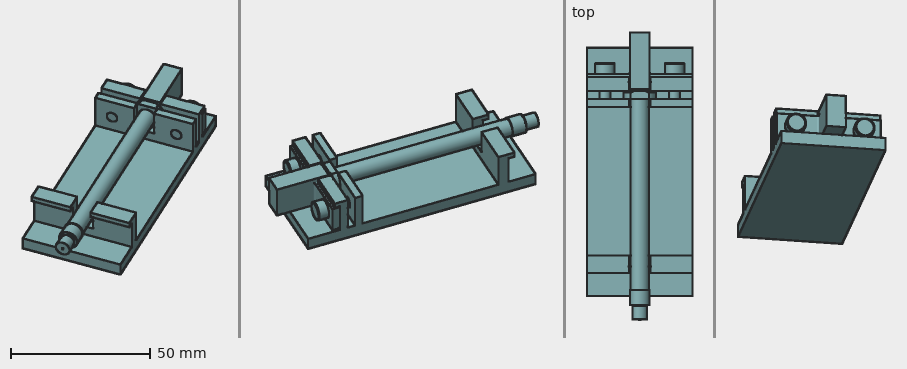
import cadquery as cq


BASE_WIDTH = 38.0
BASE_LENGTH = 89.3
BASE_THICKNESS = 4.8
TOP_Z = 17.8
HOOK_HEIGHT = 2.0

FRONT_WALL_Y = 10.6
FRONT_WALL_THICKNESS = 4.0
FRONT_HOOK_REACH = 2.3
CLAMP_WALL_Y = 67.9
CLAMP_WALL_THICKNESS = 3.0
WALL_GAP = 2.8
REAR_WALL_THICKNESS = 3.2
REAR_HOOK_REACH = 2.0
GAP_START_Y = CLAMP_WALL_Y + CLAMP_WALL_THICKNESS
REAR_WALL_Y = GAP_START_Y + WALL_GAP
REAR_WALL_END_Y = REAR_WALL_Y + REAR_WALL_THICKNESS

SLOT_WIDTH = 7.9
SLOT_DEPTH = 9.3
SLOT_FLOOR_Z = TOP_Z - SLOT_DEPTH

BLOCK_WIDTH = 7.1
BLOCK_HEIGHT = 12.2
BLOCK_BOTTOM_Z = TOP_Z - BLOCK_HEIGHT
BLOCK_FRONT_Y = 74.4
BLOCK_REAR_Y = 94.7
FLANGE_THICKNESS = 2.9
FLANGE_TOP_CLEARANCE = 0.3
FLANGE_TOP_Z = TOP_Z - HOOK_HEIGHT - FLANGE_TOP_CLEARANCE
FLANGE_REAR_Y = REAR_WALL_END_Y + FLANGE_THICKNESS
FLANGE_FILLET = 0.6

SCREW_SPACING = 25.0
SCREW_X_POSITIONS = (-SCREW_SPACING / 2, SCREW_SPACING / 2)
SCREW_Z = 10.7
SCREW_DIAMETER = 4.0
SCREW_HEAD_DIAMETER = 7.0
SCREW_HEAD_HEIGHT = 4.0
SCREW_HEAD_CHAMFER = 0.3

BARREL_CLEARANCE = 1.0
BARREL_DIAMETER = 6.5
AXIS_Z = SLOT_FLOOR_Z + BARREL_CLEARANCE + BARREL_DIAMETER / 2
DISC_DIAMETER = 11.7
DISC_ACROSS_FLATS = 9.6
DISC_CHAMFER = 0.5
COLLAR_DIAMETER = 7.0
COLLAR_REAR_Y = 2.2
COLLAR_FRONT_Y = -3.2

NECK_DIAMETER = 5.0
NECK_LENGTH = 0.4
TIP_DIAMETER = 5.4
NIB_DIAMETER = 0.5
NIB_LENGTH = 0.2
OVERALL_LENGTH = 103.3
NIB_END_Y = BLOCK_REAR_Y - OVERALL_LENGTH


def box(width, y_start, y_end, z_bottom, z_top):
    """Box centred on X = 0 between two Y and two Z positions."""
    return cq.Workplane("XY").box(
        width, y_end - y_start, z_top - z_bottom, centered=(True, False, False)
    ).translate((0, y_start, z_bottom))


def rod(diameter, y_start, y_end, x=0, z=AXIS_Z):
    """Cylinder along Y between two Y positions."""
    plane = cq.Plane(origin=(x, y_start, z), xDir=(1, 0, 0), normal=(0, 1, 0))
    return cq.Workplane(plane).circle(diameter / 2).extrude(y_end - y_start)


def screw_shank(x):
    """Screw shank, flush with the front of the clamp wall; it also cuts the screw holes."""
    return rod(SCREW_DIAMETER, CLAMP_WALL_Y, FLANGE_REAR_Y, x, SCREW_Z)


def cut_screw_holes(body):
    for x in SCREW_X_POSITIONS:
        body = body.cut(screw_shank(x))
    return body


def make_base():
    """Base plate with a hooked front wall, a clamp wall and a hooked rear wall."""
    front_wall_end_y = FRONT_WALL_Y + FRONT_WALL_THICKNESS
    rear_hook_end_y = REAR_WALL_END_Y + REAR_HOOK_REACH
    hook_bottom_z = TOP_Z - HOOK_HEIGHT
    base = box(BASE_WIDTH, 0, BASE_LENGTH, 0, BASE_THICKNESS)
    for y_start, y_end in (
        (FRONT_WALL_Y, front_wall_end_y),
        (CLAMP_WALL_Y, GAP_START_Y),
        (REAR_WALL_Y, REAR_WALL_END_Y),
    ):
        base = base.union(box(BASE_WIDTH, y_start, y_end, 0, TOP_Z))
    for y_start, y_end in (
        (FRONT_WALL_Y - FRONT_HOOK_REACH, front_wall_end_y),
        (REAR_WALL_Y, rear_hook_end_y),
    ):
        base = base.union(box(BASE_WIDTH, y_start, y_end, hook_bottom_z, TOP_Z))
    base = base.cut(box(SLOT_WIDTH, 0, BASE_LENGTH, SLOT_FLOOR_Z, TOP_Z))
    return cut_screw_holes(base)


def make_flanged_block():
    """Block with a mounting flange and a tongue that lies in the slot of the rear wall."""
    flange = box(BASE_WIDTH, REAR_WALL_END_Y, FLANGE_REAR_Y, BLOCK_BOTTOM_Z, FLANGE_TOP_Z)
    body = box(BLOCK_WIDTH, REAR_WALL_END_Y, BLOCK_REAR_Y, BLOCK_BOTTOM_Z, TOP_Z)
    block = flange.union(body)

    half_width = BLOCK_WIDTH / 2
    margin = FLANGE_FILLET / 2
    for side in (-half_width, half_width):
        corner = cq.selectors.BoxSelector(
            (side - margin, REAR_WALL_END_Y + margin, BLOCK_BOTTOM_Z + margin),
            (side + margin, FLANGE_REAR_Y + margin, FLANGE_TOP_Z + margin),
        )
        block = block.edges(corner).fillet(FLANGE_FILLET)

    tongue = box(BLOCK_WIDTH, BLOCK_FRONT_Y, REAR_WALL_END_Y, SLOT_FLOOR_Z, TOP_Z)
    return cut_screw_holes(block.union(tongue))


def make_screw(x):
    """Cap screw with a chamfered head that bears on the rear of the flange."""
    head_end_y = FLANGE_REAR_Y + SCREW_HEAD_HEIGHT
    head = rod(SCREW_HEAD_DIAMETER, FLANGE_REAR_Y, head_end_y, x, SCREW_Z)
    head = head.faces(">Y").chamfer(SCREW_HEAD_CHAMFER)
    return head.union(screw_shank(x))


def make_barrel():
    """Long barrel with a flat-sided disc between the walls and a collar at its front end."""
    half_flats = DISC_ACROSS_FLATS / 2
    disc = rod(DISC_DIAMETER, GAP_START_Y, REAR_WALL_Y).faces(">Y").chamfer(DISC_CHAMFER)
    disc = disc.intersect(
        box(DISC_DIAMETER, GAP_START_Y, REAR_WALL_Y, AXIS_Z - half_flats, AXIS_Z + half_flats)
    )
    barrel = rod(BARREL_DIAMETER, COLLAR_FRONT_Y, BLOCK_FRONT_Y)
    collar = rod(COLLAR_DIAMETER, COLLAR_FRONT_Y, COLLAR_REAR_Y)
    return barrel.union(disc).union(collar)


def make_tip():
    """Tip carried on a narrower neck, with a nib in the middle of its front face."""
    tip_front_y = NIB_END_Y + NIB_LENGTH
    tip_rear_y = COLLAR_FRONT_Y - NECK_LENGTH
    neck = rod(NECK_DIAMETER, tip_rear_y, COLLAR_FRONT_Y)
    tip = rod(TIP_DIAMETER, tip_front_y, tip_rear_y)
    nib = rod(NIB_DIAMETER, NIB_END_Y, tip_front_y)
    return tip.union(neck).union(nib)


base = make_base()
flanged_block = make_flanged_block()
screws = [make_screw(x).val() for x in SCREW_X_POSITIONS]
barrel = make_barrel()
tip = make_tip()

result = cq.Compound.makeCompound(
    [base.val(), flanged_block.val(), *screws, barrel.val(), tip.val()]
)